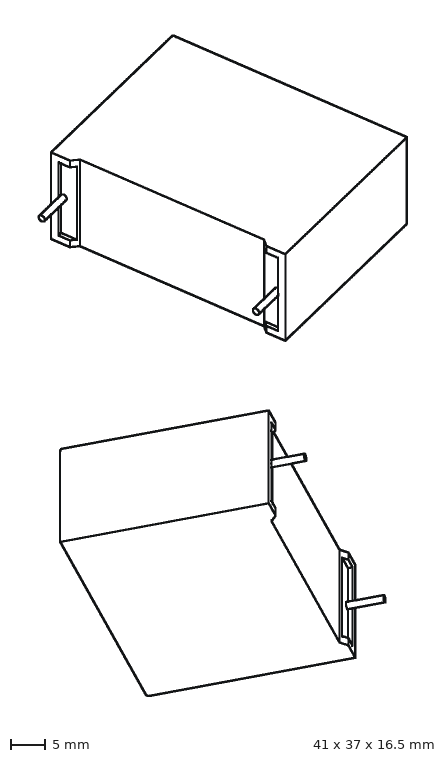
import cadquery as cq

case_width = 41.0
case_length = 32.0
case_height = 16.5
back_fillet = 0.5

foot_width = 3.3
relief_depth = 1.0
bevel_width = 1.1

wall = 1.3
pocket_depth = 0.7

lead_pitch = 37.5
lead_diameter = 1.1
lead_length = 5.0

mount_y = 0.0
back_y = mount_y + case_length
pocket_floor_y = mount_y + pocket_depth
foot_edge_x = case_width / 2 - foot_width
relief_edge_x = foot_edge_x - bevel_width
pocket_width = foot_width + bevel_width - wall
pocket_center_x = case_width / 2 - wall - pocket_width / 2
sides = (-1, 1)


def box_between(width, height, front_y, rear_y):
    """Box centred on X and Z that spans the given range of Y."""
    middle_y = (front_y + rear_y) / 2
    return cq.Workplane("XY").box(width, rear_y - front_y, height).translate((0, middle_y, 0))


def make_relief():
    """Shallow channel with bevelled ends across the mounting face."""
    return (
        cq.Workplane("XY")
        .moveTo(-foot_edge_x, mount_y)
        .lineTo(-relief_edge_x, mount_y + relief_depth)
        .lineTo(relief_edge_x, mount_y + relief_depth)
        .lineTo(foot_edge_x, mount_y)
        .close()
        .extrude(case_height / 2, both=True)
    )


def make_lead(side):
    """Straight round lead from the pocket floor out past the mounting face."""
    return (
        cq.Workplane("XZ", origin=(side * lead_pitch / 2, pocket_floor_y, 0))
        .circle(lead_diameter / 2)
        .extrude(pocket_depth + lead_length)
    )


def make_pocket(side):
    """Sunken area of one foot that runs out into the bevel of the relief."""
    pocket = box_between(pocket_width, case_height - 2 * wall, mount_y, pocket_floor_y)
    return pocket.translate((side * pocket_center_x, 0, 0))


def make_case(leads):
    """Block with a rounded rear rim, two feet with pockets, and a seat for each lead."""
    block = box_between(case_width, case_height, mount_y, back_y)
    case = block.faces(">Y").edges().fillet(back_fillet).cut(make_relief())
    for side in sides:
        case = case.cut(make_pocket(side))
    for lead in leads:
        case = case.cut(lead)
    return case


leads = [make_lead(side) for side in sides]
case = make_case(leads)

result = cq.Compound.makeCompound([case.val(), *[lead.val() for lead in leads]])